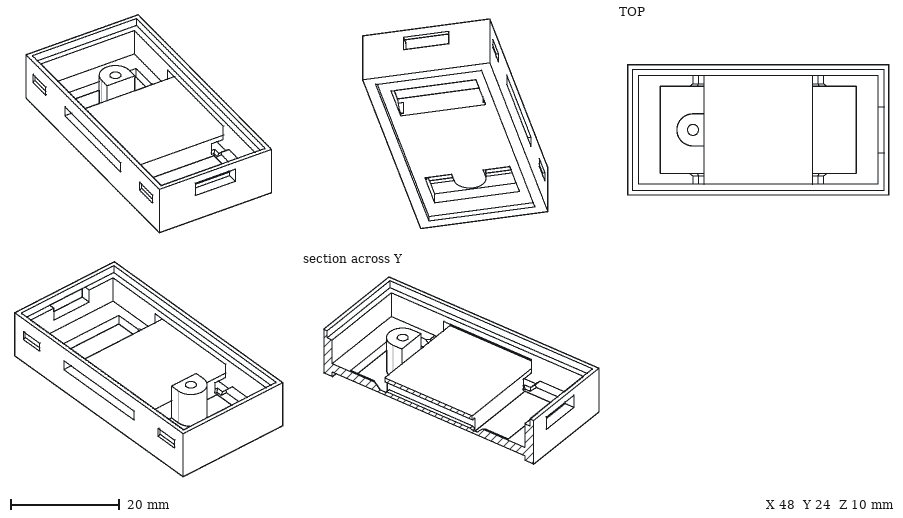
import cadquery as cq

length = 48.0
width = 24.0
height = 10.0
wall = 2.0
rim_wall = 0.85
ledge_z = 8.4

floor_bottom = 1.0
floor_top = 3.0
window_length = 36.0
window_width = 16.0

plate_length = 20.0
plate_top = 5.0
plate_thickness = 1.0
block_gap = 0.5

channel_top_length = 24.0
channel_depth = 1.0
channel_chamfer = 0.5

post_radius = 3.0
post_x = -12.0
post_top = ledge_z
post_hole_diameter = 2.0
post_hole_floor = 1.9

slot_top = 7.05
catch_length = 4.6
catch_height = 1.8
catch_lip_rise = 0.3
catch_depth = 0.45
catch_end_distance = 4.8
port_width = 8.5
port_bottom = 5.6

cavity_length = length - 2 * wall
cavity_width = width - 2 * wall
channel_z = floor_top - channel_depth


def block(size_x, size_y, bottom, top, x=0.0, y=0.0):
    """Rectangular block centred at (x, y), between two heights."""
    base = cq.Workplane("XY", origin=(x, y, bottom))
    return base.rect(size_x, size_y).extrude(top - bottom)


def make_shell():
    """Walls with a stepped rim, a raised floor and a recess under it."""
    shell = block(length, width, 0, height)
    shell = shell.cut(block(length - 2 * rim_wall, width - 2 * rim_wall, ledge_z, height))
    shell = shell.cut(block(cavity_length, cavity_width, floor_top, ledge_z))
    return shell.cut(block(cavity_length, cavity_width, 0, floor_bottom))


def make_channel():
    """Trapezoidal channel across the full cavity width."""
    top_half = channel_top_length / 2
    bottom_half = top_half - channel_depth
    profile = [
        (-top_half, floor_top),
        (top_half, floor_top),
        (bottom_half, channel_z),
        (-bottom_half, channel_z),
    ]
    return cq.Workplane("XZ").polyline(profile).close().extrude(cavity_width / 2, both=True)


def cut_windows(body):
    """Two windows, one each side of the plate, chamfered where the channel meets them."""
    size_x = (window_length - plate_length) / 2
    centre_x = (window_length + plate_length) / 4
    for side in (-1, 1):
        body = body.cut(block(size_x, window_width, floor_bottom, floor_top, side * centre_x))

    margin = 0.05
    plate_half = plate_length / 2 - margin
    channel_half = channel_top_length / 2 + margin
    half_y = window_width / 2 + margin
    for side in (-1, 1):
        near_x, far_x = sorted((side * plate_half, side * channel_half))
        edges = cq.selectors.BoxSelector(
            (near_x, -half_y, channel_z - margin),
            (far_x, half_y, floor_top - margin),
        )
        body = body.edges(edges).chamfer(channel_chamfer)
    return body


def make_plate():
    """Plate joined to both long walls, on a narrower block."""
    plate = block(plate_length, cavity_width, plate_top - plate_thickness, plate_top)
    block_width = window_width - 2 * block_gap
    return plate.union(block(plate_length, block_width, floor_bottom, plate_top))


def make_post():
    """Round post with straight sides that run back to the plate edge."""
    plate_edge = -plate_length / 2
    outline = (
        cq.Workplane("XY", origin=(0, 0, floor_bottom))
        .moveTo(plate_edge, -post_radius)
        .lineTo(post_x, -post_radius)
        .threePointArc((post_x - post_radius, 0), (post_x, post_radius))
        .lineTo(plate_edge, post_radius)
        .close()
    )
    return outline.extrude(post_top - floor_bottom)


def make_post_hole():
    """Blind screw hole from the top of the post."""
    base = cq.Workplane("XY", origin=(post_x, 0, post_hole_floor))
    return base.circle(post_hole_diameter / 2).extrude(post_top - post_hole_floor)


def make_catch(x, side):
    """Blind catch pocket in a long wall, with a sloping lower face."""
    face_y = side * width / 2
    back_y = face_y - side * catch_depth
    bottom = slot_top - catch_height
    profile = [
        (face_y, bottom),
        (face_y, slot_top),
        (back_y, slot_top),
        (back_y, bottom + catch_lip_rise),
    ]
    base = cq.Workplane("YZ", origin=(x, 0, 0))
    return base.polyline(profile).close().extrude(catch_length / 2, both=True)


def cut_wall_openings(body):
    """Slot over the plate, port in the +X wall and catches in the long walls."""
    body = body.cut(block(plate_length, width, plate_top, slot_top))
    body = body.cut(block(wall, port_width, port_bottom, ledge_z, (length - wall) / 2))
    catch_x = length / 2 - catch_end_distance
    for x in (-catch_x, catch_x):
        for side in (-1, 1):
            body = body.cut(make_catch(x, side))
    return body


case = cut_windows(make_shell().cut(make_channel()))
case = cut_wall_openings(case.union(make_plate()))
result = case.union(make_post()).cut(make_post_hole())